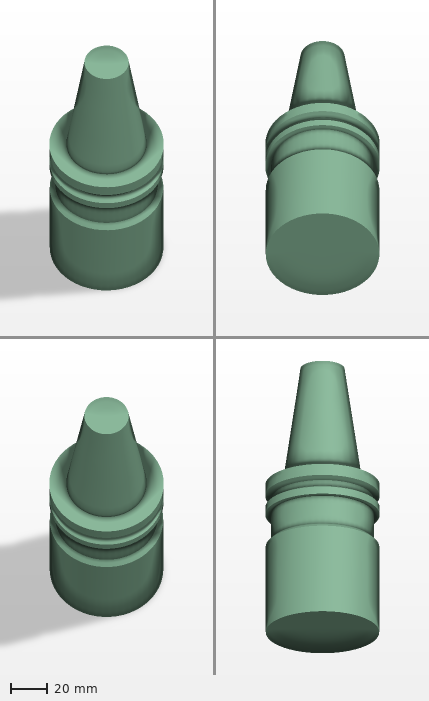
import cadquery as cq

total_height = 157.2
body_height = 51.0
body_chamfer_height = 2.8
flange_bottom = 70.1
flange_top = 87.8
lower_rim_height = 4.2
upper_rim_height = 6.6
lower_groove_flank = 2.0
upper_groove_flank = 1.5
taper_start = 89.0

body_diameter = 63.0
neck_diameter = 57.0
groove_diameter = 56.4
flange_diameter = 63.5
taper_base_diameter = 44.5
taper_tip_diameter = 24.5

lower_rim_top = flange_bottom + lower_rim_height
upper_rim_bottom = flange_top - upper_rim_height

section = [
    (0, 0),
    (body_diameter, 0),
    (body_diameter, body_height),
    (neck_diameter, body_height + body_chamfer_height),
    (neck_diameter, flange_bottom),
    (flange_diameter, flange_bottom),
    (flange_diameter, lower_rim_top),
    (groove_diameter, lower_rim_top + lower_groove_flank),
    (groove_diameter, upper_rim_bottom - upper_groove_flank),
    (flange_diameter, upper_rim_bottom),
    (flange_diameter, flange_top),
    (taper_base_diameter, flange_top),
    (taper_base_diameter, taper_start),
    (taper_tip_diameter, total_height),
    (0, total_height),
]

half_section = [(diameter / 2, height) for diameter, height in section]
result = cq.Workplane("XZ").polyline(half_section).close().revolve(360, (0, 0, 0), (0, 1, 0))